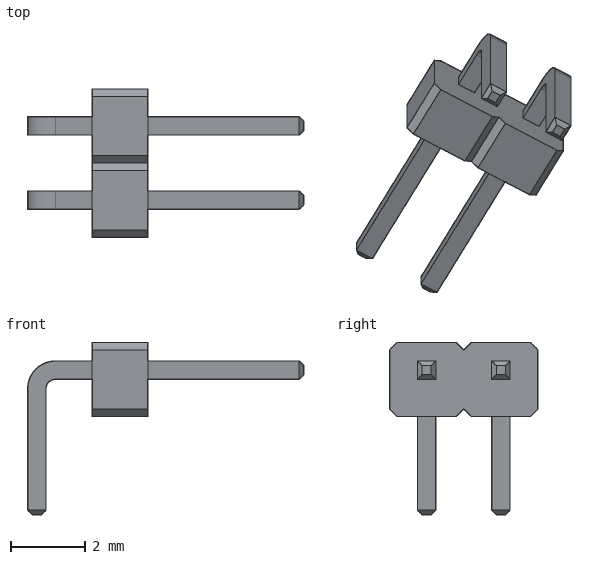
import cadquery as cq

overall_length = 7.45
overall_height = 4.65
overall_width = 4.0
pin_count = 2
pitch = overall_width / pin_count

body_start = 1.74
body_length = 1.5
body_height = pitch
body_chamfer = 0.2

pin_size = 0.5
pin_drop = 0.5
bend_outer_radius = 0.75
bend_inner_radius = bend_outer_radius - pin_size
tip_chamfer = 0.13

body_center_z = overall_height - body_height / 2
pin_top = overall_height - pin_drop
pin_bottom = pin_top - pin_size


def make_block(y):
    """One body block with its four long edges chamfered."""
    return (
        cq.Workplane("XY")
        .box(body_length, pitch, body_height)
        .edges("|X")
        .chamfer(body_chamfer)
        .translate((body_start + body_length / 2, y, body_center_z))
    )


def make_pin(y):
    """One bent square pin with both ends tapered on all four sides."""
    bend_z = pin_top - bend_outer_radius
    pin = (
        cq.Workplane("XZ")
        .moveTo(0, 0)
        .lineTo(0, bend_z)
        .radiusArc((bend_outer_radius, pin_top), bend_outer_radius)
        .lineTo(overall_length, pin_top)
        .lineTo(overall_length, pin_bottom)
        .lineTo(bend_outer_radius, pin_bottom)
        .radiusArc((pin_size, bend_z), -bend_inner_radius)
        .lineTo(pin_size, 0)
        .close()
        .extrude(pin_size / 2, both=True)
    )
    pin = pin.faces(">X").chamfer(tip_chamfer)
    pin = pin.faces("<Z").chamfer(tip_chamfer)
    return pin.translate((0, y, 0))


result = cq.Workplane("XY")
for index in range(pin_count):
    pin_y = (index - (pin_count - 1) / 2) * pitch
    result = result.union(make_block(pin_y)).union(make_pin(pin_y))